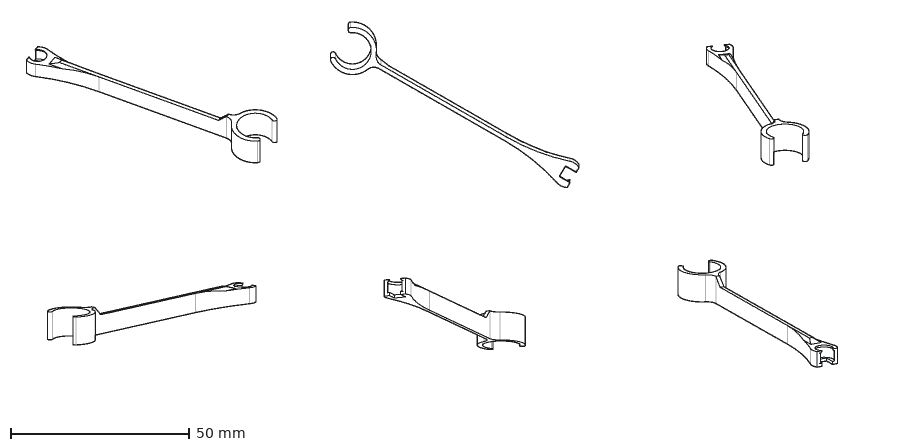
import cadquery as cq
import math

length = 75.8
bar_half_width = 0.6
bar_height = 5.5

head_height = 4.6
head_radius = 3.8
head_x = 1.9
flare_end_x = 21.8
slot_half_width = 1.705
slot_end_x = 3.5
socket_floor = 0.9
socket_radius = 2.9
lip_radius = 2.5
lip_height = 0.7

ridge_start_x = 6.45
ridge_crest_x = 9.2
ridge_half_width = 1.7

ring_height = 8.0
ring_outer = 6.75
ring_inner = 5.2
ring_x = 71.65
neck_x = 62.7
overlap = 0.75


def tangent_fillet(distance, circle_radius):
    """Radius of an arc tangent to the bar side and to a circle `distance` along X."""
    rise = distance**2 + bar_half_width**2 - circle_radius**2
    return rise / (2 * (circle_radius - bar_half_width))


def web_between(circle_x, circle_radius, tangent_x, height):
    """Solid that blends the bar sides into a circle with two concave tangent arcs."""
    run = tangent_x - circle_x
    fillet = tangent_fillet(run, circle_radius)
    share = circle_radius / (circle_radius + fillet)
    arc_center_y = bar_half_width + fillet
    contact_x = circle_x + run * share
    contact_y = arc_center_y * share

    half_sweep = math.atan2(abs(run), arc_center_y) / 2
    mid_x = tangent_x - math.copysign(fillet * math.sin(half_sweep), run)
    mid_y = arc_center_y - fillet * math.cos(half_sweep)

    return (
        cq.Workplane("XY")
        .moveTo(contact_x, contact_y)
        .threePointArc((mid_x, mid_y), (tangent_x, bar_half_width))
        .lineTo(tangent_x, -bar_half_width)
        .threePointArc((mid_x, -mid_y), (contact_x, -contact_y))
        .lineTo(circle_x, 0)
        .close()
        .extrude(height)
    )


def box_between(x_start, x_end, half_width, height):
    return (
        cq.Workplane("XY")
        .box(x_end - x_start, 2 * half_width, height, centered=(False, True, False))
        .translate((x_start, 0, 0))
    )


def make_ridge(flare):
    """Roof-shaped ridge with a sloping front, trimmed to the flare outline."""
    roof = (
        cq.Workplane("YZ", origin=(ridge_start_x, 0, 0))
        .polyline([
            (-ridge_half_width, 0),
            (ridge_half_width, 0),
            (ridge_half_width, head_height),
            (bar_half_width, bar_height),
            (-bar_half_width, bar_height),
            (-ridge_half_width, head_height),
        ])
        .close()
        .extrude(flare_end_x - ridge_start_x)
    )
    side_profile = (
        cq.Workplane("XZ")
        .polyline([
            (ridge_start_x, 0),
            (flare_end_x, 0),
            (flare_end_x, bar_height),
            (ridge_crest_x, bar_height),
            (ridge_start_x, head_height),
        ])
        .close()
        .extrude(ridge_half_width, both=True)
    )
    return roof.intersect(side_profile).intersect(flare)


def make_head():
    disc = cq.Workplane("XY").center(head_x, 0).circle(head_radius).extrude(head_height)
    flare = web_between(head_x, head_radius, flare_end_x, bar_height)
    low_flare = web_between(head_x, head_radius, flare_end_x, head_height)
    head = disc.union(low_flare).union(make_ridge(flare))

    front_trim = box_between(-head_radius, 0, head_radius, head_height)
    return head.cut(front_trim)


def make_socket_cutter():
    """Round pocket narrowing to a lip at the top, over a square-ended through slot."""
    pocket = (
        cq.Workplane("XZ")
        .polyline([
            (0, socket_floor),
            (socket_radius, socket_floor),
            (socket_radius, head_height - lip_height),
            (lip_radius, head_height),
            (0, head_height),
        ])
        .close()
        .revolve(360, (0, 0), (0, 1))
        .translate((head_x, 0, 0))
    )
    slot = box_between(-overlap, slot_end_x, slot_half_width, head_height)
    return pocket.union(slot)


def make_bar():
    """Straight bar with a 45 degree ramp up to the ring height."""
    ramp_start_x = neck_x - (ring_height - bar_height)
    bar_end_x = neck_x + overlap
    return (
        cq.Workplane("XZ")
        .polyline([
            (flare_end_x - overlap, 0),
            (bar_end_x, 0),
            (bar_end_x, ring_height),
            (neck_x, ring_height),
            (ramp_start_x, bar_height),
            (flare_end_x - overlap, bar_height),
        ])
        .close()
        .extrude(bar_half_width, both=True)
    )


def make_ring():
    """C-shaped clip with round tips, opening toward +X."""
    tip_radius = (ring_outer - ring_inner) / 2
    mid_radius = (ring_outer + ring_inner) / 2
    tip_x = length - tip_radius
    tip_y = math.sqrt(mid_radius**2 - (tip_x - ring_x) ** 2)
    reach = 2 * ring_outer
    mouth_slope = tip_y / (tip_x - ring_x)

    disc = cq.Workplane("XY").center(ring_x, 0).circle(ring_outer).extrude(ring_height)
    neck = web_between(ring_x, ring_outer, neck_x, ring_height)
    bore = cq.Workplane("XY").center(ring_x, 0).circle(ring_inner).extrude(ring_height)
    mouth = (
        cq.Workplane("XY", origin=(ring_x, 0, 0))
        .polyline([(0, 0), (reach, -reach * mouth_slope), (reach, reach * mouth_slope)])
        .close()
        .extrude(ring_height)
    )
    tips = (
        cq.Workplane("XY")
        .pushPoints([(tip_x, tip_y), (tip_x, -tip_y)])
        .circle(tip_radius)
        .extrude(ring_height)
    )
    return disc.union(neck).cut(bore).cut(mouth).union(tips)


head = make_head().cut(make_socket_cutter())
result = head.union(make_bar()).union(make_ring())